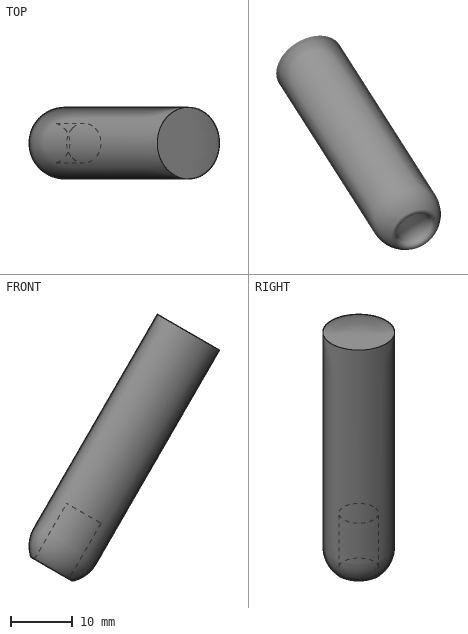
import cadquery as cq

pin_diameter = 11.68
pin_length = 46.0
bore_diameter = 6.45
bore_depth = 12.0
lip_fillet = 0.5
tilt_angle = 30.0

pin_radius = pin_diameter / 2


def round_nosed_pin():
    """Solid pin along +Z: hemispherical nose with its pole at the origin, flat upper end."""
    half_section = (
        cq.Workplane("XZ")
        .radiusArc((pin_radius, pin_radius), -pin_radius)
        .lineTo(pin_radius, pin_length)
        .lineTo(0, pin_length)
        .close()
    )
    return half_section.revolve(360, (0, 0, 0), (0, 1, 0))


def add_nose_bore(pin):
    """Bore the nose along the pin axis and round the lip of the bore."""
    bore = cq.Workplane("XY").circle(bore_diameter / 2).extrude(bore_depth)
    bored_pin = pin.cut(bore)
    lowest_circle = bored_pin.edges("%CIRCLE").edges("<Z")
    return lowest_circle.fillet(lip_fillet)


upright_pin = add_nose_bore(round_nosed_pin())
result = upright_pin.rotate((0, 0, 0), (0, 1, 0), tilt_angle)